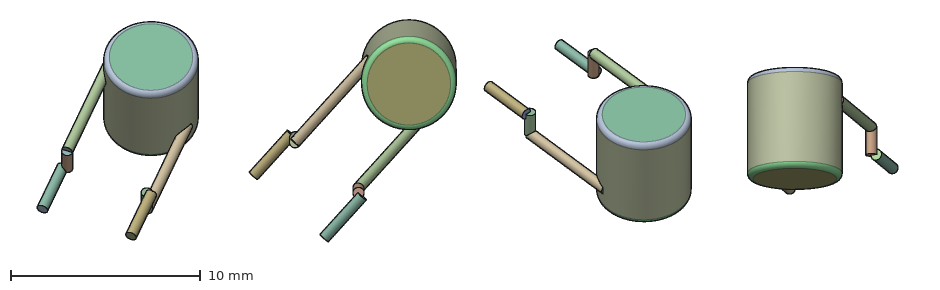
import cadquery as cq

total_length = 12.0
can_diameter = 5.0
can_height = 5.5
rim_radius = 0.3

wire_diameter = 0.6
inner_lead_x = 2.25
outer_lead_x = can_diameter / 2
lead_offset_z = 1.5
lead_start_y = -0.5
tip_length = 3.0
tip_y = can_diameter / 2 - total_length
bend_y = tip_y + tip_length


def make_can():
    can = cq.Workplane("XY").cylinder(can_height, can_diameter / 2)
    return can.faces("|Z").edges().fillet(rim_radius)


def wire(start, end):
    """Straight round wire with flat ends, between two points on its centre line."""
    origin = cq.Vector(*start)
    span = cq.Vector(*end) - origin
    return cq.Workplane(cq.Solid.makeCylinder(wire_diameter / 2, span.Length, origin, span))


def make_lead(side):
    """Lead on the -X side, high (side = -1), or on the +X side, low (side = 1)."""
    inner_x = side * inner_lead_x
    outer_x = side * outer_lead_x
    lead_z = -side * lead_offset_z
    body_run = wire((inner_x, lead_start_y, lead_z), (inner_x, bend_y, lead_z))
    vertical_run = wire((inner_x, bend_y, lead_z), (inner_x, bend_y, 0))
    tip = wire((outer_x, bend_y, 0), (outer_x, tip_y, 0))
    return body_run.union(vertical_run).union(tip)


result = make_can()
for side in (-1, 1):
    result = result.union(make_lead(side))